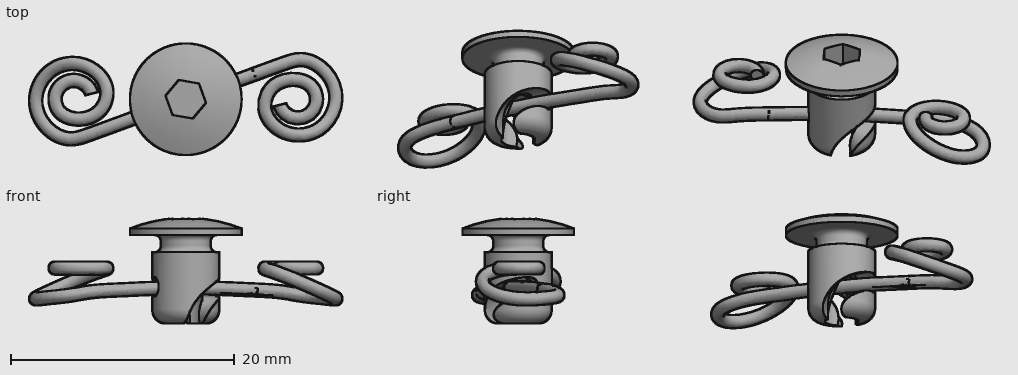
import cadquery as cq
import math


HEAD_RADIUS = 5.0
RIM_HEIGHT = 0.6
DOME_RISE = 0.967
TOP_Z = RIM_HEIGHT + DOME_RISE
HEX_ACROSS_FLATS = 3.175
HEX_DEPTH = 2.3

NECK_RADIUS = 2.25
NECK_FILLET = 0.5
NECK_LENGTH = 1.5
SHANK_RADIUS = 3.0
STUD_LENGTH = 7.9
NOSE_FILLET = 1.25
BOTTOM_Z = -STUD_LENGTH

BORE_RADIUS = 1.5
BORE_DEPTH = 3.85
SLOT_WIDTH = 1.7
SLOT_RISE = 3.3
SLOT_TURN = 90.0
SLOT_STEPS = 12
SLOT_LEAD_IN = 0.8
SLOT_OUTER_OVERRUN = 0.4
SLOT_INNER_OVERRUN = 0.3
SLOT_OUTER_RADIUS = SHANK_RADIUS + SLOT_OUTER_OVERRUN
SLOT_INNER_RADIUS = BORE_RADIUS - SLOT_INNER_OVERRUN

WIRE_RADIUS = 0.6
WIRE_ANGLE = 20.0
WIRE_MID_HEIGHT = 3.2
ARM_LENGTH = 9.4
ARM_DROP = 0.4
ARM_STEPS = 3
COIL_CENTRE_X = 10.0
EYE_RADIUS = 1.68
EYE_HEIGHT = 4.97
COIL_POINTS = [
    (86, 3.55, 2.56),
    (45, 3.48, 2.3),
    (0, 3.4, 2.24),
    (-45, 3.28, 2.8),
    (-87, 3.2, 3.75),
    (-130, 3.15, 4.6),
    (-164, 3.06, 4.93),
    (-200, 2.6, EYE_HEIGHT),
    (-235, 2.05, EYE_HEIGHT),
    (-270, 1.74, EYE_HEIGHT),
    (-320, EYE_RADIUS, EYE_HEIGHT),
    (-373, EYE_RADIUS, EYE_HEIGHT),
    (-412, EYE_RADIUS, EYE_HEIGHT),
    (-452, EYE_RADIUS, EYE_HEIGHT),
    (-490, EYE_RADIUS, EYE_HEIGHT),
    (-523, EYE_RADIUS, EYE_HEIGHT),
]


def polar(radius, angle, z):
    """Point at a radius and angle (degrees) about the Z axis."""
    turn = math.radians(angle)
    return cq.Vector(radius * math.cos(turn), radius * math.sin(turn), z)


def make_stud_blank():
    """Domed head, filleted neck and round-nosed shank as one revolved profile."""
    dome_radius = (HEAD_RADIUS**2 + DOME_RISE**2) / (2 * DOME_RISE)
    half_angle = math.asin(HEAD_RADIUS / dome_radius) / 2
    dome_mid = (
        dome_radius * math.sin(half_angle),
        TOP_Z - dome_radius * (1 - math.cos(half_angle)),
    )
    flare_radius = NECK_RADIUS + NECK_FILLET
    profile = (
        cq.Workplane("XZ")
        .moveTo(0, BOTTOM_Z)
        .lineTo(SHANK_RADIUS - NOSE_FILLET, BOTTOM_Z)
        .radiusArc((SHANK_RADIUS, BOTTOM_Z + NOSE_FILLET), -NOSE_FILLET)
        .lineTo(SHANK_RADIUS, -NECK_LENGTH)
        .lineTo(flare_radius, -NECK_LENGTH)
        .radiusArc((NECK_RADIUS, NECK_FILLET - NECK_LENGTH), NECK_FILLET)
        .lineTo(NECK_RADIUS, -NECK_FILLET)
        .radiusArc((flare_radius, 0), NECK_FILLET)
        .lineTo(HEAD_RADIUS, 0)
        .lineTo(HEAD_RADIUS, RIM_HEIGHT)
        .threePointArc(dome_mid, (0, TOP_Z))
        .close()
    )
    return profile.revolve(360, (0, 0), (0, 1))


def make_hex_socket():
    """Hexagonal key socket, with flats square to the wire direction."""
    half_side_angle = 180 / 6
    corner_diameter = HEX_ACROSS_FLATS / math.cos(math.radians(half_side_angle))
    return (
        cq.Workplane("XY", origin=(0, 0, TOP_Z))
        .polygon(6, corner_diameter)
        .extrude(-HEX_DEPTH)
        .rotate((0, 0, 0), (0, 0, 1), WIRE_ANGLE + half_side_angle)
    )


def slot_curve(radius):
    """Slot centre line at a radius: steep at the mouth and level at the closed end."""
    points = []
    for step in range(SLOT_STEPS + 1):
        phase = math.radians(90 * step / SLOT_STEPS)
        angle = WIRE_ANGLE - SLOT_TURN * math.cos(phase)
        points.append(polar(radius, angle, BOTTOM_Z + SLOT_RISE * math.sin(phase)))
    return cq.Wire.assembleEdges([cq.Edge.makeSpline(points)])


def make_slot_cutter():
    """Tool for one slot: upright mouth, spiral sweep and round closed end."""
    wall = SLOT_OUTER_RADIUS - SLOT_INNER_RADIUS
    mid_radius = (SLOT_OUTER_RADIUS + SLOT_INNER_RADIUS) / 2
    mouth_angle = WIRE_ANGLE - SLOT_TURN
    mouth_plane = cq.Plane(
        origin=polar(mid_radius, mouth_angle, BOTTOM_Z),
        xDir=polar(1, mouth_angle, 0),
        normal=(0, 0, 1),
    )
    mouth = cq.Workplane(mouth_plane).rect(wall, SLOT_WIDTH)
    spiral = mouth.sweep(
        cq.Workplane(slot_curve(mid_radius)),
        auxSpine=cq.Workplane(slot_curve(SLOT_OUTER_RADIUS)),
    )
    lead_in = cq.Workplane(mouth_plane).rect(wall, SLOT_WIDTH).extrude(-SLOT_LEAD_IN)
    closed_end = cq.Workplane(
        cq.Solid.makeCylinder(
            SLOT_WIDTH / 2,
            wall,
            polar(SLOT_INNER_RADIUS, WIRE_ANGLE, BOTTOM_Z + SLOT_RISE),
            polar(1, WIRE_ANGLE, 0),
        )
    )
    return spiral.union(lead_in).union(closed_end)


def make_stud():
    bore = cq.Workplane("XY", origin=(0, 0, BOTTOM_Z)).circle(BORE_RADIUS).extrude(BORE_DEPTH)
    stud = make_stud_blank().cut(make_hex_socket()).cut(bore)
    slot_cutter = make_slot_cutter()
    for turn in (0, 180):
        stud = stud.cut(slot_cutter.rotate((0, 0, 0), (0, 0, 1), turn))
    return stud.solids()


def arm_points():
    """Centre line of one arm, from just off the stud axis to the end of its coil."""
    points = []
    for step in range(1, ARM_STEPS + 1):
        fraction = step / ARM_STEPS
        height = WIRE_MID_HEIGHT - ARM_DROP * fraction**2
        points.append(polar(ARM_LENGTH * fraction, WIRE_ANGLE, BOTTOM_Z + height))
    coil_centre = cq.Vector(COIL_CENTRE_X, 0, 0)
    for angle, radius, height in COIL_POINTS:
        points.append(coil_centre + polar(radius, angle, BOTTOM_Z + height))
    return points


def make_wire_spring():
    """Round wire bowed through the stud, with a raised coil on each end."""
    arm = arm_points()
    opposite_arm = [cq.Vector(-point.x, -point.y, point.z) for point in arm]
    middle = cq.Vector(0, 0, BOTTOM_Z + WIRE_MID_HEIGHT)
    centre_line = cq.Edge.makeSpline(opposite_arm[::-1] + [middle] + arm)
    start_plane = cq.Plane(origin=centre_line.startPoint(), normal=centre_line.tangentAt(0))
    section = cq.Workplane(start_plane).circle(WIRE_RADIUS)
    return section.sweep(cq.Workplane(cq.Wire.assembleEdges([centre_line])))


stud = make_stud()
wire_spring = make_wire_spring()

result = cq.Compound.makeCompound([stud.val(), wire_spring.val()])